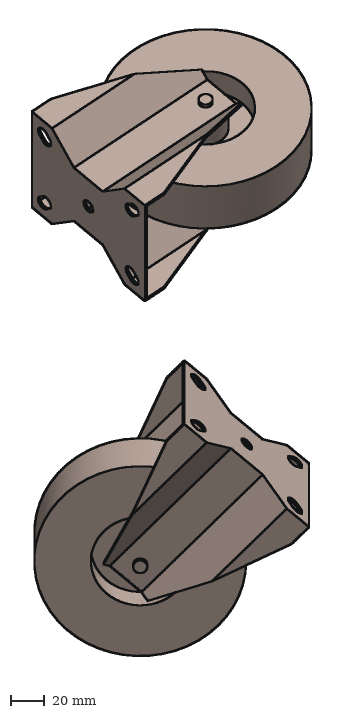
import cadquery as cq
import math

wheel_dia = 125.0
wheel_width = 37.0
recess_dia = 58.1
web_thickness = 1.5
hub_dia = 27.0
hub_length = 42.2
axle_dia = 8.4
axle_length = 52.0
overall_length = 155.0
axle_y = overall_length - wheel_dia / 2

sheet = 1.5
bracket_width = 100.0
bracket_height = 84.0
channel_half_width = 12.7
channel_half_height = 23.4
flange_start = 32.1
arm_length = 105.2
arm_tip_width = 35.3
straight_length = 15.2

slot_width = 8.5
slot_length = 12.5
slot_x = 38.8
slot_z = 28.8
slot_angle = 45
center_hole_dia = 8.4


def disc(diameter, length):
    """Cylinder along Z, centred on the wheel."""
    base = cq.Workplane("XY", origin=(0, axle_y, -length / 2))
    return base.circle(diameter / 2).extrude(length)


def make_wheel():
    rim = disc(wheel_dia, wheel_width).cut(disc(recess_dia, wheel_width))
    web = disc(recess_dia, web_thickness)
    return rim.union(web).union(disc(hub_dia, hub_length)).union(disc(axle_dia, axle_length))


def extrude_along_y(points, length):
    """Extrude an (X, Z) outline from Y = 0 toward +Y."""
    return cq.Workplane("XZ").polyline(points).close().extrude(-length)


def upper_profile():
    """Outer line of the upper bent sheet, from left to right."""
    half_width = bracket_width / 2
    top = bracket_height / 2
    right = [
        (channel_half_width, channel_half_height),
        (flange_start, top),
        (half_width, top),
    ]
    left = [(-x, z) for x, z in reversed(right)]
    return left + right


def inner_profile():
    """Upper profile moved inward by one sheet thickness, measured square to each face."""
    rise = bracket_height / 2 - channel_half_height
    slope_angle = math.atan2(rise, flange_start - channel_half_width)
    bend_shift = sheet * math.tan(slope_angle / 2)
    inner = []
    for x, z in upper_profile():
        at_outer_edge = abs(x) == bracket_width / 2
        shift = 0 if at_outer_edge else math.copysign(bend_shift, x)
        inner.append((x + shift, z - sheet))
    return inner


def make_arm():
    """Upper arm: bent sheet trimmed to a taper."""
    bent_sheet = extrude_along_y(upper_profile() + inner_profile()[::-1], arm_length)
    half_width = bracket_width / 2
    half_tip = arm_tip_width / 2
    taper = (
        cq.Workplane("XY")
        .polyline([
            (-half_width, 0),
            (half_width, 0),
            (half_width, straight_length),
            (half_tip, arm_length),
            (-half_tip, arm_length),
            (-half_width, straight_length),
        ])
        .close()
        .extrude(bracket_height)
    )
    return bent_sheet.intersect(taper)


def make_plate():
    upper = upper_profile()
    lower = [(x, -z) for x, z in reversed(upper)]
    plate = extrude_along_y(upper + lower, sheet)
    for side_x in (-1, 1):
        for side_z in (-1, 1):
            slot = (
                cq.Workplane("XZ")
                .center(side_x * slot_x, side_z * slot_z)
                .slot2D(slot_length, slot_width, side_x * side_z * slot_angle)
                .extrude(-sheet)
            )
            plate = plate.cut(slot)
    center_hole = cq.Workplane("XZ").circle(center_hole_dia / 2).extrude(-sheet)
    return plate.cut(center_hole)


def make_bracket():
    arm = make_arm()
    bracket = make_plate().union(arm).union(arm.mirror("XY"))
    return bracket.cut(disc(axle_dia, bracket_height))


wheel = make_wheel()
bracket = make_bracket()
result = cq.Compound.makeCompound([wheel.val(), bracket.val()])